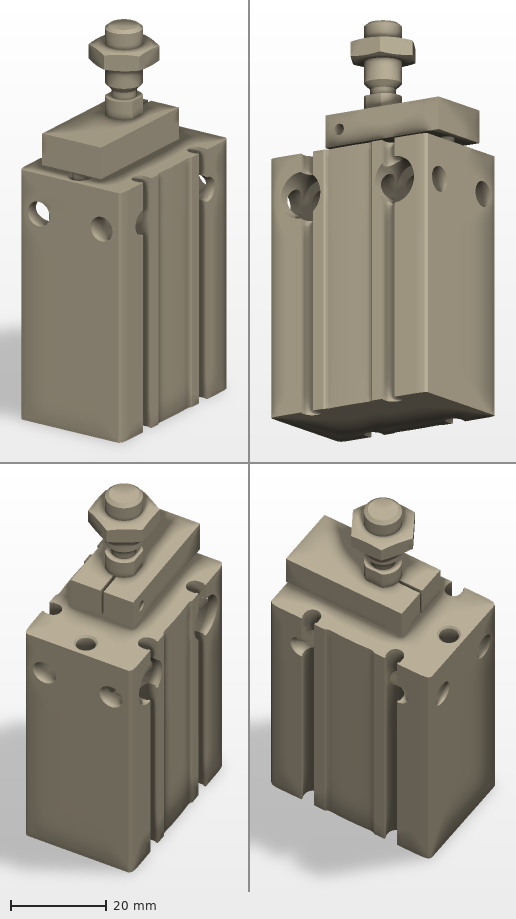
import cadquery as cq
import math

TOTAL_HEIGHT = 85.0

HOUSING_X = 26.0
HOUSING_Y = 40.0
HOUSING_TOP = 56.0
CORNER_CHAMFER_X = 0.8
CORNER_CHAMFER_Y = 0.5
CORNER_BULGE_DEPTH = 0.25
CORNER_BULGE_START_Y = 17.5

RECESS_HALF_WIDTH = 6.2
RECESS_SHOULDER_HALF_WIDTH = 5.9
RECESS_FLOOR_HALF_WIDTH = 5.2
RECESS_SHOULDER_DEPTH = 0.25
RECESS_EDGE_DEPTH = 0.4
RECESS_MIDDLE_DEPTH = 0.25

SLOT_Y = 10.4
SLOT_MOUTH_WIDTH = 3.15
SLOT_WIDTH = 3.65
SLOT_DEPTH = 3.65
SLOT_LIP = 0.6

MOUNT_Z = 47.0
MOUNT_DIAMETER = 5.5
MOUNT_Y_HOLE_X = 8.0
MOUNT_X_HOLE_Y = 12.0
COUNTERBORE_DIAMETER = 10.0
COUNTERBORE_DEPTH = 8.0

PORT_Y = 16.5
PORT_DIAMETER = 4.2
PORT_MOUTH_DIAMETER = 5.0
PORT_DEPTH = 5.0
DRILL_TIP_ANGLE = 118.0

ROD_DIAMETER = 8.0
ROD_INSERTION = 10.0
FLAT_WIDTH = 7.0
NECK_DIAMETER = 5.35
NECK_BOTTOM = 69.1
THREAD_BOTTOM = 72.1
TIP_DIAMETER = 6.4
TIP_CHAMFER_HEIGHT = 0.7

NUT_BOTTOM = 76.75
NUT_TOP = 80.8
NUT_ACROSS_FLATS = 13.0
NUT_FACE_DIAMETER = 11.6
NUT_CHAMFER_ANGLE = 15.0
HEXAGON_SIDES = 6

PLATE_X = 15.0
PLATE_Y = 29.0
PLATE_BACK_Y = 9.5
PLATE_BOTTOM = 58.0
PLATE_TOP = 65.0
CLAMP_SLIT_WIDTH = 0.8

SCREW_DIAMETER = 2.5
SCREW_Y = 6.0
SCREW_RECESS = 3.0

PIN_DIAMETER = 3.0
PIN_Y = -16.5
PIN_INSERTION = 5.0
PIN_BORE_DIAMETER = 3.9
PIN_BORE_MOUTH_DIAMETER = 5.0

half_x = HOUSING_X / 2
half_y = HOUSING_Y / 2
plate_height = PLATE_TOP - PLATE_BOTTOM
plate_middle_z = (PLATE_TOP + PLATE_BOTTOM) / 2
plate_middle_y = PLATE_BACK_Y - PLATE_Y / 2


def upright_cylinder(diameter, bottom, top, y=0):
    """Cylinder along Z between two heights."""
    return cq.Workplane("XY", origin=(0, y, bottom)).circle(diameter / 2).extrude(top - bottom)


def housing_blank():
    """Extruded block whose corners are chamfered and run into the sides with a wide arc."""
    arc_end_x = half_x - CORNER_BULGE_DEPTH
    quarter = (
        cq.Workplane("XY")
        .moveTo(half_x, 0)
        .lineTo(half_x, CORNER_BULGE_START_Y)
        .tangentArcPoint((arc_end_x, half_y - CORNER_CHAMFER_Y), relative=False)
        .lineTo(half_x - CORNER_CHAMFER_X, half_y)
        .lineTo(0, half_y)
    )
    return quarter.mirrorY().mirrorX().extrude(HOUSING_TOP)


def side_recess():
    """Material removed from the middle of the -X side."""
    shoulder_x = -half_x + RECESS_SHOULDER_DEPTH
    edge_x = -half_x + RECESS_EDGE_DEPTH
    middle_x = -half_x + RECESS_MIDDLE_DEPTH
    return (
        cq.Workplane("XY")
        .moveTo(-half_x, RECESS_HALF_WIDTH)
        .lineTo(shoulder_x, RECESS_SHOULDER_HALF_WIDTH)
        .lineTo(edge_x, RECESS_FLOOR_HALF_WIDTH)
        .threePointArc((middle_x, 0), (edge_x, -RECESS_FLOOR_HALF_WIDTH))
        .lineTo(shoulder_x, -RECESS_SHOULDER_HALF_WIDTH)
        .lineTo(-half_x, -RECESS_HALF_WIDTH)
        .close()
        .extrude(HOUSING_TOP)
    )


def sensor_slot(y):
    """Material removed for one sensor slot in the -X side."""
    radius = SLOT_WIDTH / 2
    mouth_half = SLOT_MOUTH_WIDTH / 2
    lip_x = -half_x + SLOT_LIP
    arc_x = -half_x + SLOT_DEPTH - radius
    return (
        cq.Workplane("XY", origin=(0, y, 0))
        .moveTo(-half_x, mouth_half)
        .lineTo(lip_x, mouth_half)
        .lineTo(lip_x, radius)
        .lineTo(arc_x, radius)
        .threePointArc((arc_x + radius, 0), (arc_x, -radius))
        .lineTo(lip_x, -radius)
        .lineTo(lip_x, -mouth_half)
        .lineTo(-half_x, -mouth_half)
        .close()
        .extrude(HOUSING_TOP)
    )


def mounting_holes():
    """Two through holes along Y and two counterbored through holes along X."""
    along_y = (
        cq.Workplane("XZ", origin=(0, half_y, MOUNT_Z))
        .pushPoints([(-MOUNT_Y_HOLE_X, 0), (MOUNT_Y_HOLE_X, 0)])
        .circle(MOUNT_DIAMETER / 2)
        .extrude(HOUSING_Y)
    )
    entry_face = cq.Workplane("YZ", origin=(-half_x, 0, MOUNT_Z))
    x_hole_centers = [(-MOUNT_X_HOLE_Y, 0), (MOUNT_X_HOLE_Y, 0)]
    along_x = entry_face.pushPoints(x_hole_centers).circle(MOUNT_DIAMETER / 2).extrude(HOUSING_X)
    counterbores = (
        entry_face.pushPoints(x_hole_centers).circle(COUNTERBORE_DIAMETER / 2).extrude(COUNTERBORE_DEPTH)
    )
    return along_y.union(along_x).union(counterbores)


def chamfered_bore(y, diameter, mouth_diameter, depth, tip_height=0):
    """Bore down from the top face with a 45 degree mouth chamfer and a flat or conical bottom."""
    radius = diameter / 2
    mouth_radius = mouth_diameter / 2
    return (
        cq.Workplane("XZ", origin=(0, y, HOUSING_TOP))
        .moveTo(0, 0)
        .lineTo(mouth_radius, 0)
        .lineTo(radius, radius - mouth_radius)
        .lineTo(radius, -depth)
        .lineTo(0, -depth - tip_height)
        .close()
        .revolve()
    )


def make_housing():
    """Profiled block with its side grooves, mounting holes, port and the rod and pin bores."""
    body = housing_blank()
    side_cuts = [side_recess(), sensor_slot(SLOT_Y), sensor_slot(-SLOT_Y)]
    for cut in side_cuts:
        body = body.cut(cut).cut(cut.mirror("YZ"))
    port_tip = PORT_DIAMETER / 2 / math.tan(math.radians(DRILL_TIP_ANGLE / 2))
    air_port = chamfered_bore(PORT_Y, PORT_DIAMETER, PORT_MOUTH_DIAMETER, PORT_DEPTH, port_tip)
    pin_bore = chamfered_bore(PIN_Y, PIN_BORE_DIAMETER, PIN_BORE_MOUTH_DIAMETER, PIN_INSERTION)
    rod_bore = upright_cylinder(ROD_DIAMETER, HOUSING_TOP - ROD_INSERTION, HOUSING_TOP)
    return body.cut(mounting_holes()).cut(air_port).cut(pin_bore).cut(rod_bore)


def make_rod():
    """Turned rod; the flats run from the plate up to the neck."""
    radius = ROD_DIAMETER / 2
    neck_radius = NECK_DIAMETER / 2
    neck_top = THREAD_BOTTOM - (radius - neck_radius)
    rod_bottom = HOUSING_TOP - ROD_INSERTION
    turned = (
        cq.Workplane("XZ")
        .moveTo(0, rod_bottom)
        .lineTo(radius, rod_bottom)
        .lineTo(radius, NECK_BOTTOM)
        .lineTo(neck_radius, NECK_BOTTOM)
        .lineTo(neck_radius, neck_top)
        .lineTo(radius, THREAD_BOTTOM)
        .lineTo(radius, TOTAL_HEIGHT - TIP_CHAMFER_HEIGHT)
        .lineTo(TIP_DIAMETER / 2, TOTAL_HEIGHT)
        .lineTo(0, TOTAL_HEIGHT)
        .close()
        .revolve()
    )
    flat_zone = upright_cylinder(ROD_DIAMETER, PLATE_TOP, NECK_BOTTOM)
    between_flats = (
        cq.Workplane("XY", origin=(0, 0, PLATE_TOP))
        .rect(FLAT_WIDTH, ROD_DIAMETER)
        .extrude(NECK_BOTTOM - PLATE_TOP)
    )
    return turned.cut(flat_zone.cut(between_flats))


def make_nut():
    """Hexagon with corners along Y, chamfered on both faces by a shallow cone."""
    corner_diameter = NUT_ACROSS_FLATS / math.cos(math.pi / HEXAGON_SIDES)
    face_radius = NUT_FACE_DIAMETER / 2
    rim_radius = corner_diameter / 2
    drop = (rim_radius - face_radius) * math.tan(math.radians(NUT_CHAMFER_ANGLE))
    hexagon = (
        cq.Workplane("XY", origin=(0, 0, NUT_BOTTOM))
        .polygon(HEXAGON_SIDES, corner_diameter)
        .extrude(NUT_TOP - NUT_BOTTOM)
        .rotate((0, 0, 0), (0, 0, 1), 180 / HEXAGON_SIDES)
    )
    chamfered_disc = (
        cq.Workplane("XZ")
        .moveTo(0, NUT_BOTTOM)
        .lineTo(face_radius, NUT_BOTTOM)
        .lineTo(rim_radius, NUT_BOTTOM + drop)
        .lineTo(rim_radius, NUT_TOP - drop)
        .lineTo(face_radius, NUT_TOP)
        .lineTo(0, NUT_TOP)
        .close()
        .revolve()
    )
    return hexagon.intersect(chamfered_disc).cut(upright_cylinder(ROD_DIAMETER, NUT_BOTTOM, NUT_TOP))


def screw_hole():
    """Cross hole through the whole plate width."""
    return (
        cq.Workplane("YZ", origin=(-PLATE_X / 2, SCREW_Y, plate_middle_z))
        .circle(SCREW_DIAMETER / 2)
        .extrude(PLATE_X)
    )


def make_plate():
    """Guide plate, slit from its +Y end to the rod bore."""
    block = cq.Workplane("XY").box(PLATE_X, PLATE_Y, plate_height)
    block = block.translate((0, plate_middle_y, plate_middle_z))
    slit = cq.Workplane("XY").box(CLAMP_SLIT_WIDTH, PLATE_BACK_Y, plate_height)
    slit = slit.translate((0, PLATE_BACK_Y / 2, plate_middle_z))
    bore = upright_cylinder(ROD_DIAMETER, PLATE_BOTTOM, PLATE_TOP)
    return block.cut(slit).cut(bore).cut(screw_hole())


def make_clamp_screw():
    """Screw flush with the +X side of the plate and sunk below its -X side."""
    return (
        cq.Workplane("YZ", origin=(-PLATE_X / 2 + SCREW_RECESS, SCREW_Y, plate_middle_z))
        .circle(SCREW_DIAMETER / 2)
        .extrude(PLATE_X - SCREW_RECESS)
    )


def make_guide_pin():
    """Pin hanging from the plate into a clearance bore of the housing."""
    return upright_cylinder(PIN_DIAMETER, HOUSING_TOP - PIN_INSERTION, PLATE_BOTTOM, PIN_Y)


housing = make_housing()
rod = make_rod()
nut = make_nut()
plate = make_plate()
clamp_screw = make_clamp_screw()
guide_pin = make_guide_pin()

result = cq.Compound.makeCompound(
    [housing.val(), rod.val(), nut.val(), plate.val(), clamp_screw.val(), guide_pin.val()]
)